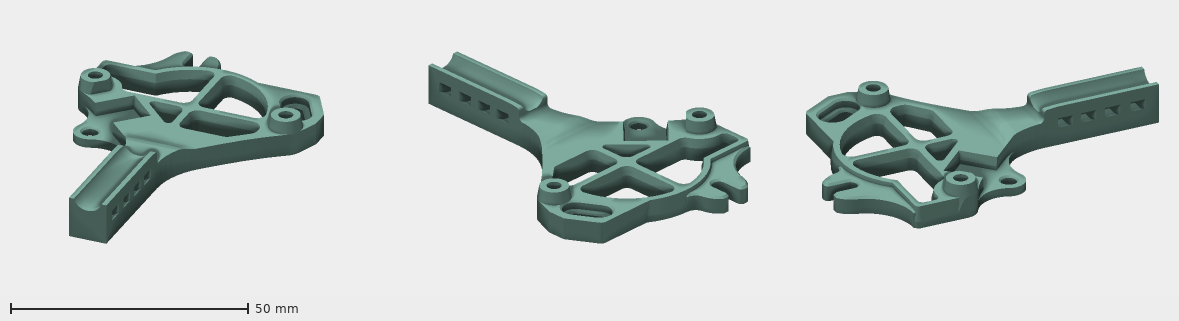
import cadquery as cq
import math

PAD_TOP = 2.0
FORK_TOP = 4.0
PLATE_TOP = 5.0
NECK_TOP = 6.0
BOSS_TOP = 7.8
HANDLE_TOP = 9.2

DRAFT_START = 1.5
DRAFT_INSET = 0.5

RIM_RADIUS = 18.2
RIGHT_WALL_X = 27.21
RIGHT_WALL_LOW_Y = 3.7
RIGHT_WALL_HIGH_Y = 8.0
LEFT_SHOULDER_Y = 12.25
RIGHT_SHOULDER_Y = 15.4
SHOULDER_CORNER_RADIUS = 1.4
SLANT_ANGLE = 30.0

BOSS_X = 21.9
BOSS_RADIUS = 3.65
BOSS_TIP_RADIUS = 3.15
BOSS_HOLE_DIAMETER = 3.2
BOSS_FLAT_DISTANCE = 2.85
LEFT_WALL_X = -BOSS_X - BOSS_RADIUS

HANDLE_HALF_WIDTH = 4.3
HANDLE_END_Y = -54.25
NECK_RADIUS = 16.3
FLANK_RUN = 3.8
FLANK_END_ANGLE = -57.0
WALL_START_ANGLE = -18.5
RAMP_TOP_Y = -20.5
RAMP_BOTTOM_Y = -16.3
STEP_Y = -27.6
STEP_FILLET = 1.1
STEP_ROUND = 0.8
CROWN_END_Y = -31.9
CROWN_RADIUS = 28.0
GROOVE_RADIUS = 3.1
GROOVE_FLAT = 0.4
GROOVE_AXIS_Z = 10.1
TIE_INNER_RADIUS = 5.7
TIE_OUTER_RADIUS = 7.35
TIE_WIDTH = 3.55
TIE_CENTRES_Y = (-32.5, -37.9, -43.5, -49.4)

PAD_HOLE = (-17.27, -13.34)
PAD_HOLE_DIAMETER = 3.4
PAD_HOLE_CHAMFER = 0.45
PAD_RADIUS = 3.65
PAD_WAIST_RADIUS = 6.85
PAD_NECK_RADIUS = 7.75
RECESS_WIDTH = 9.5
RECESS_CORNER = (-12.8, -0.2)
RECESS_RUN = 6.3
RECESS_LIP_RUN = 3.25
RECESS_STEP_Z = 3.0
RECESS_INSET = 0.4

FORK_CENTRE = (-8.13, 19.3)
FORK_RADIUS = 6.1
FORK_TIP_Y = 24.24
FORK_SLOT_WIDTH = 3.2
FORK_LEFT_RADIUS = 11.0
FORK_RIGHT_RADIUS = 2.5
FORK_TIP_FILLET = 1.0
FORK_CHAMFER = 0.5
FORK_ROOT_DEPTH = 1.2

SPOKE_HALF_WIDTH = 0.8
LEFT_WINDOW_X = -23.8
LEFT_WINDOW_TOP_Y = 10.4
BOSS_RING_RADIUS = 5.65
LOWER_WINDOW_X = 17.2
LOWER_WINDOW_Y = -9.35
LOWER_WINDOW_CUT = (4.9, 4.1)
TRIANGLE_REACH = 10.0
WINDOW_RADIUS = 16.3
WINDOW_STEP_Z = RECESS_STEP_Z
WINDOW_CORNER_RADIUS = 2.0
LOWER_WINDOW_CORNER_RADIUS = 2.6
WINDOW_END_RADIUS = 1.3
TRIANGLE_TIP_RADIUS = 1.0

SLOT_CENTRE = (20.65, 8.53)
SLOT_TRAVEL = 5.0
SLOT_WIDTH = 3.3
SLOT_CHAMFER = 0.45
SLOT_RECESS_WIDTH = 6.8
SLOT_FLOOR_Z = 3.0

ORIGIN = (0.0, 0.0)
LEFT_BOSS = (-BOSS_X, 0.0)
RIGHT_BOSS = (BOSS_X, 0.0)
NECK_LEFT = (-HANDLE_HALF_WIDTH - NECK_RADIUS, STEP_Y)
NECK_RIGHT = (HANDLE_HALF_WIDTH + NECK_RADIUS, STEP_Y)

COS45 = math.cos(math.radians(45))


def polar(centre, radius, degrees):
    """Point on a circle at the given angle."""
    angle = math.radians(degrees)
    return (centre[0] + radius * math.cos(angle), centre[1] + radius * math.sin(angle))


def toward(start, end, distance):
    """Point at a distance from start along the line to end."""
    length = math.dist(start, end)
    return (
        start[0] + (end[0] - start[0]) * distance / length,
        start[1] + (end[1] - start[1]) * distance / length,
    )


def circle_meeting(centre_a, radius_a, centre_b, radius_b):
    """Crossing point of two circles, on the left when looking from a to b."""
    span = math.dist(centre_a, centre_b)
    along = (radius_a**2 - radius_b**2 + span**2) / (2 * span)
    aside = math.sqrt(radius_a**2 - along**2)
    ux = (centre_b[0] - centre_a[0]) / span
    uy = (centre_b[1] - centre_a[1]) / span
    return (centre_a[0] + along * ux - aside * uy, centre_a[1] + along * uy + aside * ux)


def arc_through(sketch, centre, end, bulge):
    """Add an arc about centre to end, passing on the side of the point named bulge."""
    middle = toward(centre, bulge, math.dist(centre, end))
    return sketch.threePointArc(middle, end)


def midpoint(a, b):
    return ((a[0] + b[0]) / 2, (a[1] + b[1]) / 2)


def round_corner(body, corner, radius):
    """Fillet the upright edge of body nearest to a plan point."""
    nearest = cq.selectors.NearestToPointSelector((*corner, body.val().Center().z))
    return body.edges("|Z").edges(nearest).fillet(radius)


def draft_angle(inset, height):
    """Lean in degrees of a wall that moves by inset over height."""
    return math.degrees(math.atan2(inset, height))


def slab(height):
    """Plate and neck of the given thickness, inside the drafted strip along the rim."""
    rim = RIM_RADIUS - DRAFT_INSET
    shoulder_y = LEFT_SHOULDER_Y - DRAFT_INSET
    waist = pad_waist_centre()
    boss_tail = toward(LEFT_BOSS, waist, BOSS_RADIUS)
    neck_left_start = polar(NECK_LEFT, NECK_RADIUS, 45)
    recess_left = (RECESS_CORNER[0] - RECESS_RUN, RECESS_CORNER[1] - RECESS_RUN)
    recess_right = (neck_left_start[0] - RECESS_LIP_RUN, neck_left_start[1] + RECESS_LIP_RUN)
    neck_right_end = polar(NECK_RIGHT, NECK_RADIUS, 135)
    flank_start = (neck_right_end[0] + FLANK_RUN, neck_right_end[1] + FLANK_RUN)
    flank_end = polar(RIGHT_BOSS, BOSS_RADIUS, FLANK_END_ANGLE)
    boss_end = polar(RIGHT_BOSS, BOSS_RADIUS, WALL_START_ANGLE)
    slant_run = (RIGHT_SHOULDER_Y - RIGHT_WALL_HIGH_Y) * math.tan(math.radians(SLANT_ANGLE))
    slant_top = (RIGHT_WALL_X - slant_run, RIGHT_SHOULDER_Y)
    body = (
        cq.Workplane("XY")
        .moveTo(LEFT_WALL_X, 0)
        .threePointArc(polar(LEFT_BOSS, BOSS_RADIUS, 210), boss_tail)
        .tangentArcPoint(recess_left, relative=False)
        .lineTo(*recess_right)
        .lineTo(*neck_left_start)
        .threePointArc(polar(NECK_LEFT, NECK_RADIUS, 22.5), (-HANDLE_HALF_WIDTH, STEP_Y))
        .lineTo(HANDLE_HALF_WIDTH, STEP_Y)
        .threePointArc(polar(NECK_RIGHT, NECK_RADIUS, 157.5), neck_right_end)
        .lineTo(*flank_start)
        .tangentArcPoint(flank_end, relative=False)
        .threePointArc(polar(RIGHT_BOSS, BOSS_RADIUS, (FLANK_END_ANGLE + WALL_START_ANGLE) / 2), boss_end)
        .lineTo(RIGHT_WALL_X, RIGHT_WALL_LOW_Y)
        .lineTo(RIGHT_WALL_X, RIGHT_WALL_HIGH_Y)
        .lineTo(*slant_top)
        .lineTo(math.sqrt(rim**2 - RIGHT_SHOULDER_Y**2), RIGHT_SHOULDER_Y)
        .threePointArc((0, rim), (-math.sqrt(rim**2 - shoulder_y**2), shoulder_y))
        .lineTo(LEFT_WALL_X + DRAFT_INSET, shoulder_y)
        .lineTo(LEFT_WALL_X + DRAFT_INSET, 0)
        .close()
        .extrude(height)
    )
    body = round_corner(body, slant_top, SHOULDER_CORNER_RADIUS)
    return round_corner(body, (LEFT_WALL_X, LEFT_SHOULDER_Y), SHOULDER_CORNER_RADIUS)


def drafted_rim():
    """Sector under the left wall, left shoulder and rim, leaning back above DRAFT_START."""
    rise = PLATE_TOP - DRAFT_START
    elbow = (-math.sqrt(RIM_RADIUS**2 - LEFT_SHOULDER_Y**2), LEFT_SHOULDER_Y)

    def outline(z):
        return (
            cq.Workplane("XY", origin=(0, 0, z))
            .moveTo(0, 0)
            .lineTo(*polar(ORIGIN, RIM_RADIUS, 45))
            .threePointArc((0, RIM_RADIUS), elbow)
            .lineTo(LEFT_WALL_X + SHOULDER_CORNER_RADIUS, LEFT_SHOULDER_Y)
            .tangentArcPoint((-SHOULDER_CORNER_RADIUS, -SHOULDER_CORNER_RADIUS))
            .lineTo(LEFT_WALL_X, 0)
            .close()
        )

    upper = outline(DRAFT_START).extrude(rise, taper=draft_angle(DRAFT_INSET, rise))
    return outline(0).extrude(DRAFT_START).union(upper)


def pad_waist_centre():
    """Centre of the hollow between the left boss and the screw pad."""
    return circle_meeting(
        PAD_HOLE, PAD_RADIUS + PAD_WAIST_RADIUS, LEFT_BOSS, BOSS_RADIUS + PAD_WAIST_RADIUS
    )


def screw_pad():
    """Thin pad around the screw hole, blending into the left boss and the neck."""
    waist = pad_waist_centre()
    neck = circle_meeting(PAD_HOLE, PAD_RADIUS + PAD_NECK_RADIUS, NECK_LEFT, NECK_RADIUS - PAD_NECK_RADIUS)
    start = toward(LEFT_BOSS, waist, BOSS_RADIUS)
    waist_end = toward(PAD_HOLE, waist, PAD_RADIUS)
    tip_end = toward(PAD_HOLE, neck, PAD_RADIUS)
    neck_end = toward(NECK_LEFT, neck, NECK_RADIUS)
    sketch = cq.Workplane("XY").moveTo(*start)
    sketch = arc_through(sketch, waist, waist_end, midpoint(start, waist_end))
    sketch = sketch.threePointArc(polar(PAD_HOLE, PAD_RADIUS, 225), tip_end)
    sketch = arc_through(sketch, neck, neck_end, midpoint(tip_end, neck_end))
    return sketch.lineTo(0, neck_end[1]).lineTo(0, 0).lineTo(*LEFT_BOSS).close().extrude(PAD_TOP)


def fork():
    """Slotted fork standing on the rim, chamfered along its top."""
    left_y = LEFT_SHOULDER_Y + FORK_LEFT_RADIUS
    reach = FORK_RADIUS + FORK_LEFT_RADIUS
    left_x = FORK_CENTRE[0] - math.sqrt(reach**2 - (left_y - FORK_CENTRE[1]) ** 2)
    left = (left_x, left_y)
    right = circle_meeting(
        FORK_CENTRE, FORK_RADIUS + FORK_RIGHT_RADIUS, ORIGIN, RIM_RADIUS + FORK_RIGHT_RADIUS
    )
    start = (left_x, LEFT_SHOULDER_Y)
    left_end = toward(FORK_CENTRE, left, FORK_RADIUS)
    right_start = toward(FORK_CENTRE, right, FORK_RADIUS)
    right_end = toward(ORIGIN, right, RIM_RADIUS)
    root_y = LEFT_SHOULDER_Y - FORK_ROOT_DEPTH
    sketch = cq.Workplane("XY").moveTo(*start)
    sketch = arc_through(sketch, left, left_end, midpoint(start, left_end))
    sketch = sketch.threePointArc((FORK_CENTRE[0], FORK_CENTRE[1] + FORK_RADIUS), right_start)
    sketch = arc_through(sketch, right, right_end, midpoint(right_start, right_end))
    body = sketch.lineTo(right_end[0], root_y).lineTo(left_x, root_y).close().extrude(FORK_TOP)
    overhang = 2 * FORK_RADIUS
    trim = cq.Workplane("XY").center(FORK_CENTRE[0], FORK_TIP_Y + FORK_RADIUS).rect(overhang, overhang)
    slot = (
        cq.Workplane("XY")
        .moveTo(FORK_CENTRE[0], FORK_CENTRE[1] + FORK_RADIUS / 2)
        .rect(FORK_SLOT_WIDTH, FORK_RADIUS)
        .extrude(FORK_TOP)
        .union(cq.Workplane("XY").center(*FORK_CENTRE).circle(FORK_SLOT_WIDTH / 2).extrude(FORK_TOP))
    )
    body = body.cut(trim.extrude(FORK_TOP)).cut(slot)
    tip_reach = math.sqrt(FORK_RADIUS**2 - (FORK_TIP_Y - FORK_CENTRE[1]) ** 2)
    for offset in (-tip_reach, -FORK_SLOT_WIDTH / 2, FORK_SLOT_WIDTH / 2, tip_reach):
        body = round_corner(body, (FORK_CENTRE[0] + offset, FORK_TIP_Y), FORK_TIP_FILLET)
    return body.faces(">Z").chamfer(FORK_CHAMFER)


def boss_cone(centre, base_z):
    """Cone of the boss draft, reaching down to base_z and BOSS_RADIUS wide at the plate top."""
    slope = (BOSS_RADIUS - BOSS_TIP_RADIUS) / (BOSS_TOP - PLATE_TOP)
    base_radius = BOSS_RADIUS + slope * (PLATE_TOP - base_z)
    base = cq.Workplane("XY", origin=(*centre, base_z)).circle(base_radius)
    return base.extrude(BOSS_TOP - base_z, taper=math.degrees(math.atan(slope)))


def left_boss():
    """Boss with one flat side, whose cone runs down into the drafted left wall."""
    size = 2 * BOSS_RADIUS
    above_plate = cq.Workplane("XY", origin=(*LEFT_BOSS, PLATE_TOP)).rect(size, size).extrude(BOSS_TOP)
    foot = cq.Workplane("XY").moveTo(LEFT_WALL_X, 0).rect(BOSS_RADIUS, size, centered=False)
    foot = foot.extrude(PLATE_TOP)
    return boss_cone(LEFT_BOSS, DRAFT_START).intersect(above_plate.union(foot)).cut(boss_flat())


def crown_height(y):
    """Height of the gently curved front of the handle top."""
    return HANDLE_TOP - CROWN_RADIUS + math.sqrt(CROWN_RADIUS**2 - (y - CROWN_END_Y) ** 2)


def neck_and_handle():
    """Neck rising in an S-shaped ramp, and the handle block with its rounded front step."""
    neck_profile = (
        cq.Workplane("YZ", origin=(-NECK_RADIUS, 0, 0))
        .moveTo(STEP_Y, 0)
        .lineTo(RAMP_BOTTOM_Y, 0)
        .lineTo(RAMP_BOTTOM_Y, PLATE_TOP)
        .spline([(RAMP_TOP_Y, NECK_TOP)], tangents=[(-1, 0), (-1, 0)], includeCurrent=True)
        .lineTo(STEP_Y, NECK_TOP)
        .close()
        .extrude(2 * NECK_RADIUS)
    )
    crown_y = STEP_Y - STEP_ROUND
    crown_middle_y = (crown_y + CROWN_END_Y) / 2
    crown_z = crown_height(crown_y)
    crown_middle = (crown_middle_y, crown_height(crown_middle_y))
    fillet_middle = polar((STEP_Y + STEP_FILLET, NECK_TOP + STEP_FILLET), STEP_FILLET, 225)
    round_inset = STEP_ROUND * (1 - COS45)
    round_middle = (STEP_Y - round_inset, crown_z - round_inset)
    neck = slab(NECK_TOP).intersect(neck_profile)
    handle = (
        cq.Workplane("YZ", origin=(-HANDLE_HALF_WIDTH, 0, 0))
        .moveTo(HANDLE_END_Y, 0)
        .lineTo(STEP_Y + STEP_FILLET, 0)
        .lineTo(STEP_Y + STEP_FILLET, NECK_TOP)
        .threePointArc(fillet_middle, (STEP_Y, NECK_TOP + STEP_FILLET))
        .lineTo(STEP_Y, crown_z - STEP_ROUND)
        .threePointArc(round_middle, (crown_y, crown_z))
        .threePointArc(crown_middle, (CROWN_END_Y, HANDLE_TOP))
        .lineTo(HANDLE_END_Y, HANDLE_TOP)
        .close()
        .extrude(2 * HANDLE_HALF_WIDTH)
    )
    return neck.union(handle)


def groove():
    """Round-bottomed groove along the handle, with a narrow flat in the middle."""
    length = STEP_Y - HANDLE_END_Y
    plane = cq.Workplane("XZ", origin=(0, STEP_Y, GROOVE_AXIS_Z))
    cutter = plane.rect(GROOVE_FLAT, 2 * GROOVE_RADIUS).extrude(length)
    for side in (-1, 1):
        cutter = cutter.union(plane.center(side * GROOVE_FLAT / 2, 0).circle(GROOVE_RADIUS).extrude(length))
    return cutter


def tie_channel(y):
    """Strap channel curving under the groove from one handle side to the other."""
    lower_handle = cq.Workplane("XY", origin=(0, y, 0)).box(
        4 * HANDLE_HALF_WIDTH, 2 * TIE_WIDTH, 2 * (GROOVE_AXIS_Z - GROOVE_RADIUS)
    )
    return (
        cq.Workplane("XZ", origin=(0, y + TIE_WIDTH / 2, GROOVE_AXIS_Z))
        .circle(TIE_OUTER_RADIUS)
        .circle(TIE_INNER_RADIUS)
        .extrude(TIE_WIDTH)
        .intersect(lower_handle)
    )


def drafted_window(outline, corners):
    """Window cutter: upright below WINDOW_STEP_Z, widening to the outline at the plate top.

    corners lists the outline corners to round, each with its radius.
    """
    prism = outline.extrude(PLATE_TOP)
    for x, y, radius in corners:
        prism = round_corner(prism, (x, y), radius)
    depth = PLATE_TOP - WINDOW_STEP_Z
    top_wires = prism.faces(">Z").wires().toPending()
    upper = top_wires.workplane().extrude(-depth, combine=False, taper=draft_angle(DRAFT_INSET, depth))
    lower = upper.faces("<Z").wires().toPending().workplane().extrude(WINDOW_STEP_Z, combine=False)
    return upper.union(lower)


def upper_right_window():
    side = SPOKE_HALF_WIDTH
    end = math.sqrt(WINDOW_RADIUS**2 - side**2)
    outline = (
        cq.Workplane("XY")
        .moveTo(side, side)
        .lineTo(end, side)
        .threePointArc(polar(ORIGIN, WINDOW_RADIUS, 45), (side, end))
        .close()
    )
    corners = [(x, y, WINDOW_CORNER_RADIUS) for x, y in ((side, side), (end, side), (side, end))]
    return drafted_window(outline, corners)


def upper_left_window():
    side = SPOKE_HALF_WIDTH
    top = math.sqrt(WINDOW_RADIUS**2 - side**2)
    elbow = (-math.sqrt(WINDOW_RADIUS**2 - LEFT_WINDOW_TOP_Y**2), LEFT_WINDOW_TOP_Y)
    ring_start = (LEFT_WINDOW_X, math.sqrt(BOSS_RING_RADIUS**2 - (LEFT_WINDOW_X + BOSS_X) ** 2))
    ring_end = (-BOSS_X + math.sqrt(BOSS_RING_RADIUS**2 - side**2), side)
    outline = (
        cq.Workplane("XY")
        .moveTo(-side, side)
        .lineTo(-side, top)
        .threePointArc(polar(ORIGIN, WINDOW_RADIUS, 115), elbow)
        .lineTo(LEFT_WINDOW_X, LEFT_WINDOW_TOP_Y)
        .lineTo(*ring_start)
        .threePointArc(polar(LEFT_BOSS, BOSS_RING_RADIUS, 45), ring_end)
        .close()
    )
    corners = [
        (-side, side, WINDOW_CORNER_RADIUS),
        (-side, top, WINDOW_CORNER_RADIUS),
        (LEFT_WINDOW_X, LEFT_WINDOW_TOP_Y, WINDOW_END_RADIUS),
        (*ring_start, WINDOW_END_RADIUS),
        (*ring_end, WINDOW_CORNER_RADIUS),
    ]
    return drafted_window(outline, corners)


def lower_right_window():
    side = SPOKE_HALF_WIDTH
    cut_x, cut_y = LOWER_WINDOW_CUT
    points = [
        (side, -side),
        (LOWER_WINDOW_X, -side),
        (LOWER_WINDOW_X, LOWER_WINDOW_Y + cut_y),
        (LOWER_WINDOW_X - cut_x, LOWER_WINDOW_Y),
        (side, LOWER_WINDOW_Y),
    ]
    corners = [(x, y, WINDOW_CORNER_RADIUS) for x, y in points]
    corners[1] = (*points[1], LOWER_WINDOW_CORNER_RADIUS)
    return drafted_window(cq.Workplane("XY").polyline(points).close(), corners)


def triangle_window():
    side = SPOKE_HALF_WIDTH
    points = [(-side, -side), (-TRIANGLE_REACH, -side), (-side, -TRIANGLE_REACH)]
    radii = (WINDOW_CORNER_RADIUS, TRIANGLE_TIP_RADIUS, TRIANGLE_TIP_RADIUS)
    corners = [(x, y, radius) for (x, y), radius in zip(points, radii)]
    return drafted_window(cq.Workplane("XY").polyline(points).close(), corners)


def square_recess():
    """Cutter over the screw pad: a 45-degree square whose walls lean back above RECESS_STEP_Z."""
    plane = cq.Plane(origin=(*RECESS_CORNER, PLATE_TOP), xDir=(COS45, -COS45, 0), normal=(0, 0, 1))
    reach = 2 * RECESS_WIDTH
    square = cq.Workplane(plane).rect(RECESS_WIDTH, -reach, centered=False)
    rise = PLATE_TOP - RECESS_STEP_Z
    upper = square.extrude(-rise, taper=draft_angle(RECESS_INSET, rise))
    floor_wires = upper.faces("<Z").wires().toPending()
    lower = floor_wires.workplane().extrude(RECESS_STEP_Z, combine=False)
    return upper.union(lower)


def adjusting_slot():
    """Slot in the floor of a wider recess, both with chamfered edges."""

    def slot(z, width):
        plane = cq.Workplane("XY", origin=(*SLOT_CENTRE, z))
        return plane.slot2D(SLOT_TRAVEL + width, width, 90 + SLANT_ANGLE)

    recess = slot(SLOT_FLOOR_Z, SLOT_RECESS_WIDTH - 2 * SLOT_CHAMFER).extrude(PLATE_TOP - SLOT_FLOOR_Z)
    rim = slot(PLATE_TOP, SLOT_RECESS_WIDTH).extrude(-SLOT_CHAMFER, taper=45)
    mouth = slot(SLOT_FLOOR_Z, SLOT_WIDTH + 2 * SLOT_CHAMFER).extrude(-SLOT_CHAMFER, taper=45)
    return recess.union(rim).union(mouth).union(slot(0, SLOT_WIDTH).extrude(PLATE_TOP))


def round_hole(centre, diameter):
    return cq.Workplane("XY").center(*centre).circle(diameter / 2).extrude(HANDLE_TOP)


def pad_hole_chamfer():
    radius = PAD_HOLE_DIAMETER / 2 + PAD_HOLE_CHAMFER
    mouth = cq.Workplane("XY", origin=(*PAD_HOLE, PAD_TOP)).circle(radius)
    return mouth.extrude(-PAD_HOLE_CHAMFER, taper=45)


def boss_flat():
    """Cutter that slices the left boss above the plate on its side facing the recess."""
    normal = (COS45, -COS45, 0)
    origin = (-BOSS_X + BOSS_FLAT_DISTANCE * COS45, -BOSS_FLAT_DISTANCE * COS45, PLATE_TOP + BOSS_RADIUS)
    plane = cq.Plane(origin=origin, xDir=(COS45, COS45, 0), normal=normal)
    return cq.Workplane(plane).rect(2 * BOSS_RADIUS, 2 * BOSS_RADIUS).extrude(BOSS_RADIUS)


result = slab(PLATE_TOP).union(drafted_rim())
result = result.union(neck_and_handle()).cut(square_recess()).union(screw_pad()).union(fork())
result = result.union(left_boss()).union(boss_cone(RIGHT_BOSS, PLATE_TOP))

for window in (upper_right_window(), upper_left_window(), lower_right_window(), triangle_window()):
    result = result.cut(window)
result = result.cut(adjusting_slot())
for boss_centre in (LEFT_BOSS, RIGHT_BOSS):
    result = result.cut(round_hole(boss_centre, BOSS_HOLE_DIAMETER))
result = result.cut(round_hole(PAD_HOLE, PAD_HOLE_DIAMETER)).cut(pad_hole_chamfer())
result = result.cut(groove())
for tie_y in TIE_CENTRES_Y:
    result = result.cut(tie_channel(tie_y))